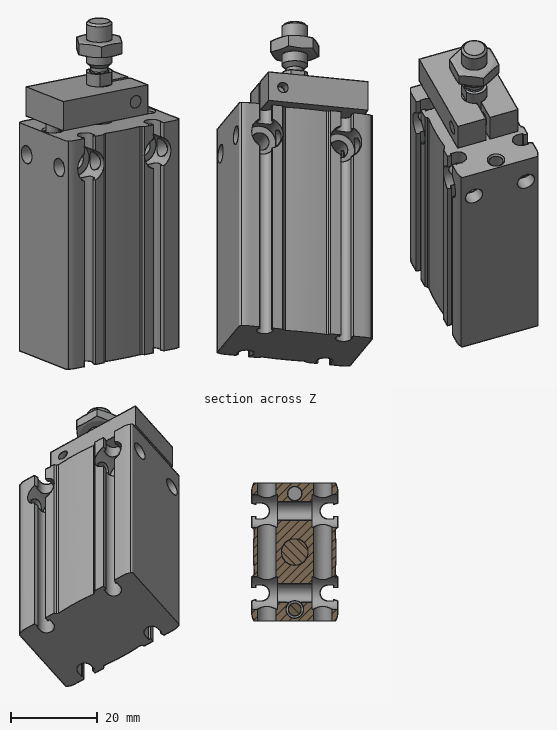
import cadquery as cq
import math


housing_width = 20.0
housing_depth = 32.0
housing_height = 55.0
half_width = housing_width / 2
half_depth = housing_depth / 2

corner_radius = 0.4
corner_inset = 0.4
flank_end = 14.0

panel_edge = 5.8
panel_break = 5.4
panel_break_inset = 0.5
panel_start = 4.9
panel_inset = 0.6
panel_crown_inset = 0.4

groove_y = 9.5
groove_radius = 1.8
groove_mouth_inner = 8.2
groove_mouth_outer = 11.0
groove_entry_outer = 11.3
groove_lip = 1.0
groove_round_depth = 2.3

mount_hole_diameter = 4.3
mount_hole_drop = 7.0
mount_hole_z = housing_height - mount_hole_drop
front_hole_x = 6.5
counterbore_diameter = 7.5
counterbore_depth = 6.0

guide_y = -13.3
guide_hole_diameter = 4.0
guide_countersink_diameter = 4.9
rear_hole_y = 13.5
rear_hole_diameter = 3.2
rear_countersink_diameter = 4.0
rod_insertion = 10.0

plate_gap = 2.0
plate_width = 15.0
plate_height = 7.0
plate_front_y = -15.5
plate_back_y = 8.45
plate_bottom = housing_height + plate_gap
plate_top = plate_bottom + plate_height
slit_width = 1.0
guide_rod_diameter = 3.0

screw_y = 5.0
screw_z = plate_bottom + plate_height / 2
screw_diameter = 3.0
screw_access_diameter = 2.45
screw_access_depth = 3.0
screw_length = plate_width - screw_access_depth

rod_diameter = 6.0
rod_top = 79.0
rod_bottom = housing_height - rod_insertion
flats_width = 5.05
flats_top = 67.0
neck_diameter = 4.0
neck_foot_diameter = 4.5
thread_start = 69.1
tip_diameter = 4.9
neck_cone_height = (rod_diameter - neck_diameter) / 2
neck_foot_height = (neck_foot_diameter - neck_diameter) / 2
tip_chamfer = (rod_diameter - tip_diameter) / 2

nut_across_flats = 10.0
nut_across_corners = nut_across_flats / math.cos(math.pi / 6)
nut_top = 74.7
nut_thickness = 3.2
nut_bottom = nut_top - nut_thickness
nut_face_diameter = 9.0
nut_bevel_angle = math.radians(15)
nut_turn_degrees = 30


def box_between(x_range, y_range, z_range):
    """Box spanning the given (low, high) limits."""
    sizes = [high - low for low, high in (x_range, y_range, z_range)]
    corner = cq.Vector(x_range[0], y_range[0], z_range[0])
    return cq.Workplane(obj=cq.Solid.makeBox(*sizes, corner))


def vertical_cylinder(diameter, bottom, top, y=0.0):
    """Cylinder along Z between two heights."""
    return cq.Workplane(obj=cq.Solid.makeCylinder(diameter / 2, top - bottom, cq.Vector(0, y, bottom)))


def cylinder_along_x(diameter, x_start, length, y, z):
    """Cylinder along +X."""
    solid = cq.Solid.makeCylinder(diameter / 2, length, cq.Vector(x_start, y, z), cq.Vector(1, 0, 0))
    return cq.Workplane(obj=solid)


def cylinder_along_y(diameter, y_start, length, x, z):
    """Cylinder along +Y."""
    solid = cq.Solid.makeCylinder(diameter / 2, length, cq.Vector(x, y_start, z), cq.Vector(0, 1, 0))
    return cq.Workplane(obj=solid)


def bowed_half(side):
    """Half of the housing block on the given side in X, with its bowed flank."""
    corner_x = half_width - corner_inset
    corner_y = half_depth - corner_radius
    bow_mid_y = (flank_end + corner_y) / 2
    bow_mid_x = half_width - corner_inset / 4
    arc_reach = corner_radius * (1 - math.sqrt(0.5))
    return (
        cq.Workplane("XY")
        .moveTo(0, -half_depth)
        .lineTo(side * (corner_x - corner_radius), -half_depth)
        .threePointArc((side * (corner_x - arc_reach), -half_depth + arc_reach), (side * corner_x, -corner_y))
        .threePointArc((side * bow_mid_x, -bow_mid_y), (side * half_width, -flank_end))
        .lineTo(side * half_width, -panel_edge)
        .lineTo(side * (half_width - panel_break_inset), -panel_break)
        .lineTo(side * (half_width - panel_inset), -panel_start)
        .threePointArc(
            (side * (half_width - panel_crown_inset), 0),
            (side * (half_width - panel_inset), panel_start),
        )
        .lineTo(side * (half_width - panel_break_inset), panel_break)
        .lineTo(side * half_width, panel_edge)
        .lineTo(side * half_width, flank_end)
        .threePointArc((side * bow_mid_x, bow_mid_y), (side * corner_x, corner_y))
        .threePointArc(
            (side * (corner_x - arc_reach), half_depth - arc_reach),
            (side * (corner_x - corner_radius), half_depth),
        )
        .lineTo(0, half_depth)
        .close()
        .extrude(housing_height)
    )


def flank_groove(side, end):
    """Full-height groove with a lipped mouth and a round bottom."""
    lip_x = side * (half_width - groove_lip)
    round_x = side * (half_width - groove_round_depth)
    bottom_x = side * (half_width - groove_round_depth - groove_radius)
    return (
        cq.Workplane("XY")
        .moveTo(side * half_width, end * groove_mouth_inner)
        .lineTo(lip_x, end * groove_mouth_inner)
        .lineTo(lip_x, end * (groove_y - groove_radius))
        .lineTo(round_x, end * (groove_y - groove_radius))
        .threePointArc((bottom_x, end * groove_y), (round_x, end * (groove_y + groove_radius)))
        .lineTo(lip_x, end * (groove_y + groove_radius))
        .lineTo(lip_x, end * groove_mouth_outer)
        .lineTo(side * half_width, end * groove_entry_outer)
        .close()
        .extrude(housing_height)
    )


def counterbored_hole(y):
    """Hole through the housing along X, counterbored from both flanks."""
    hole = cylinder_along_x(mount_hole_diameter, -half_width, housing_width, y, mount_hole_z)
    for x_start in (-half_width, half_width - counterbore_depth):
        hole = hole.union(cylinder_along_x(counterbore_diameter, x_start, counterbore_depth, y, mount_hole_z))
    return hole


def countersunk_top_hole(y, diameter, countersink_diameter):
    """Blind countersunk hole in the housing top."""
    depth = (countersink_diameter - diameter) / 2
    cone_base = cq.Vector(0, y, housing_height - depth)
    cone = cq.Solid.makeCone(diameter / 2, countersink_diameter / 2, depth, cone_base)
    return vertical_cylinder(diameter, rod_bottom, housing_height, y).union(cq.Workplane(obj=cone))


def make_housing():
    body = bowed_half(-1).union(bowed_half(1)).clean()
    for side in (-1, 1):
        hole_x = side * front_hole_x
        front_hole = cylinder_along_y(mount_hole_diameter, -half_depth, housing_depth, hole_x, mount_hole_z)
        body = body.cut(front_hole)
        for end in (-1, 1):
            body = body.cut(flank_groove(side, end))
    for end in (-1, 1):
        body = body.cut(counterbored_hole(end * groove_y))
    body = body.cut(countersunk_top_hole(guide_y, guide_hole_diameter, guide_countersink_diameter))
    body = body.cut(countersunk_top_hole(rear_hole_y, rear_hole_diameter, rear_countersink_diameter))
    return body.cut(vertical_cylinder(rod_diameter, rod_bottom, housing_height))


def make_plate():
    """Clamping plate with the guide rod fixed under its front end."""
    half_plate = plate_width / 2
    plate = box_between((-half_plate, half_plate), (plate_front_y, plate_back_y), (plate_bottom, plate_top))
    slit = box_between((-slit_width / 2, slit_width / 2), (0, plate_back_y), (plate_bottom, plate_top))
    rod_bore = vertical_cylinder(rod_diameter, plate_bottom, plate_top)
    access_hole = cylinder_along_x(screw_access_diameter, -half_plate, screw_access_depth, screw_y, screw_z)
    guide_rod = vertical_cylinder(guide_rod_diameter, rod_bottom, plate_bottom, guide_y)
    return plate.cut(slit).cut(rod_bore).cut(access_hole).cut(make_screw()).union(guide_rod)


def make_screw():
    """Clamping screw, flush with the +X face of the plate."""
    screw_tip_x = screw_access_depth - plate_width / 2
    return cylinder_along_x(screw_diameter, screw_tip_x, screw_length, screw_y, screw_z)


def make_piston_rod():
    radius = rod_diameter / 2
    rod = (
        cq.Workplane("XZ")
        .moveTo(0, rod_bottom)
        .lineTo(radius, rod_bottom)
        .lineTo(radius, flats_top)
        .lineTo(neck_foot_diameter / 2, flats_top)
        .lineTo(neck_diameter / 2, flats_top + neck_foot_height)
        .lineTo(neck_diameter / 2, thread_start - neck_cone_height)
        .lineTo(radius, thread_start)
        .lineTo(radius, rod_top - tip_chamfer)
        .lineTo(tip_diameter / 2, rod_top)
        .lineTo(0, rod_top)
        .close()
        .revolve(360, (0, 0, 0), (0, 1, 0))
    )
    for low, high in ((-radius, -flats_width / 2), (flats_width / 2, radius)):
        rod = rod.cut(box_between((low, high), (-radius, radius), (plate_top, flats_top)))
    return rod


def make_nut():
    """Hexagon nut with bevelled corners on both faces."""
    hexagon = (
        cq.Workplane("XY", origin=(0, 0, nut_bottom))
        .polygon(6, nut_across_corners)
        .extrude(nut_thickness)
        .rotate((0, 0, 0), (0, 0, 1), nut_turn_degrees)
    )
    outer_radius = nut_across_corners / 2
    face_radius = nut_face_diameter / 2
    bevel_height = (outer_radius - face_radius) * math.tan(nut_bevel_angle)
    bevelled_disc = (
        cq.Workplane("XZ")
        .moveTo(0, nut_bottom)
        .lineTo(face_radius, nut_bottom)
        .lineTo(outer_radius, nut_bottom + bevel_height)
        .lineTo(outer_radius, nut_top - bevel_height)
        .lineTo(face_radius, nut_top)
        .lineTo(0, nut_top)
        .close()
        .revolve(360, (0, 0, 0), (0, 1, 0))
    )
    return hexagon.intersect(bevelled_disc).cut(vertical_cylinder(rod_diameter, nut_bottom, nut_top))


housing = make_housing()
plate = make_plate()
screw = make_screw()
piston_rod = make_piston_rod()
nut = make_nut()

result = cq.Compound.makeCompound([housing.val(), plate.val(), screw.val(), piston_rod.val(), nut.val()])